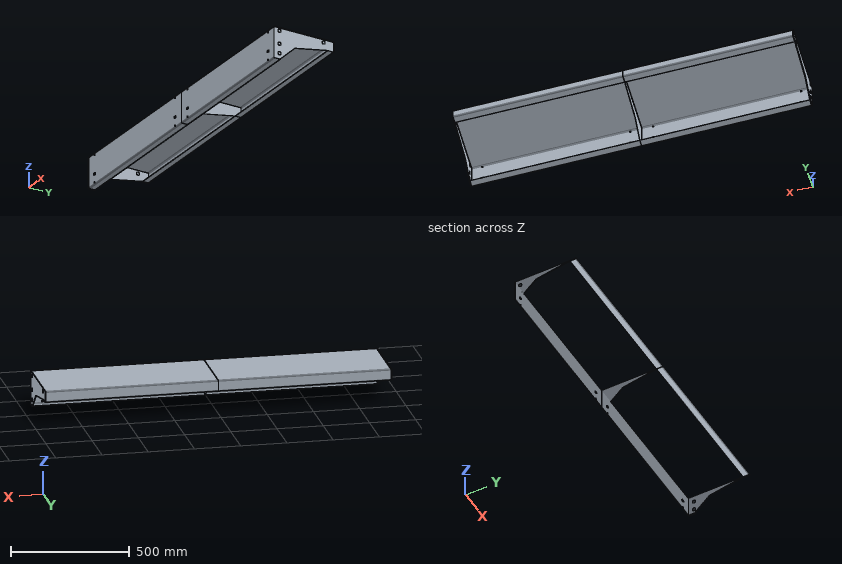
import cadquery as cq

length = 1500.0
depth = 300.0
height = 150.0
front_height = 50.0
lip_depth = 32.0
sheet = 2.0
inner_bend_radius = 2.0

bay_count = 2
fixing_inset = 50.0
slot_length = 14.0
slot_height = 9.0
slot_level = 50.0
screw_hole_diameter = 6.0
screw_edge_distance = 10.0

bracket_thickness = 2.0
knee_y = -45.0
knee_z = 71.0
bolt_hole_diameter = 15.0
front_bolt_y = 97.0
back_bolt_y = -122.0
bolt_levels = [28.0, 73.0, 134.0]

left_end = -length / 2
right_end = length / 2
bay_length = length / bay_count
back = -depth / 2
front = depth / 2
front_bottom = height - front_height
inner_back = back + sheet
inner_front = front - sheet
inner_top = height - sheet
lip_top = sheet
front_lip_top = front_bottom + sheet
back_lip_edge = back + lip_depth
front_lip_edge = front - lip_depth
outer_bend_radius = inner_bend_radius + sheet

outer_bends = [
    (back, 0),
    (back, height),
    (front, height),
    (front, front_bottom),
]
inner_bends = [
    (inner_back, lip_top),
    (inner_back, inner_top),
    (inner_front, inner_top),
    (inner_front, front_lip_top),
]


def plate(x, points, thickness):
    """Solid with the given YZ outline, running from x toward +X."""
    return cq.Workplane("YZ", origin=(x, 0, 0)).polyline(points).close().extrude(thickness)


def round_corners(body, corners, radius):
    """Round the edges along X that pass through the given (y, z) corners."""
    reach = 0.1
    for y, z in corners:
        around_corner = cq.selectors.BoxSelector(
            (left_end - reach, y - reach, z - reach),
            (right_end + reach, y + reach, z + reach),
        )
        body = body.edges("|X").edges(around_corner).fillet(radius)
    return body


def make_web(x, thickness):
    """Plate filling the inside of the fold, its lower edge rising to a knee and on to the front lip."""
    outline = [
        (back_lip_edge, lip_top),
        *inner_bends,
        (front_lip_edge, front_lip_top),
        (knee_y, knee_z),
    ]
    return round_corners(plate(x, outline, thickness), inner_bends, inner_bend_radius)


def make_fold():
    """Back wall, top and front wall, with a lip turned in below each wall."""
    outline = [
        (back_lip_edge, 0),
        *outer_bends,
        (front_lip_edge, front_bottom),
        (front_lip_edge, front_lip_top),
        *reversed(inner_bends),
        (back_lip_edge, lip_top),
    ]
    fold = plate(left_end, outline, length)
    fold = round_corners(fold, outer_bends, outer_bend_radius)
    return round_corners(fold, inner_bends, inner_bend_radius)


def make_back_openings():
    """Cutters through the back wall: a slot with a screw hole above and below at each fixing."""
    fixing_columns = []
    for bay in range(bay_count):
        bay_start = left_end + bay * bay_length
        fixing_columns += [bay_start + fixing_inset, bay_start + bay_length - fixing_inset]
    screw_levels = [screw_edge_distance, height - screw_edge_distance]

    back_wall = cq.Workplane("XZ", origin=(0, inner_back, 0))
    slots = (
        back_wall.pushPoints([(x, slot_level) for x in fixing_columns])
        .slot2D(slot_length, slot_height)
        .extrude(sheet)
    )
    screw_holes = (
        back_wall.pushPoints([(x, z) for x in fixing_columns for z in screw_levels])
        .circle(screw_hole_diameter / 2)
        .extrude(sheet)
    )
    return slots.add(screw_holes).combine()


def make_bolt_holes(wall_start):
    """Cutters through an end wall: a column of holes along its back edge and one more near its front."""
    bolt_centres = [(back_bolt_y, z) for z in bolt_levels]
    bolt_centres.append((front_bolt_y, max(bolt_levels)))
    return (
        cq.Workplane("YZ", origin=(wall_start, 0, 0))
        .pushPoints(bolt_centres)
        .circle(bolt_hole_diameter / 2)
        .extrude(sheet)
    )


def make_shelf():
    """Folded sheet closed by a drilled wall at each end."""
    shelf = make_fold()
    for wall_start in (left_end, right_end - sheet):
        end_wall = make_web(wall_start, sheet).cut(make_bolt_holes(wall_start))
        shelf = shelf.union(end_wall)
    return shelf.cut(make_back_openings())


def make_bracket(x):
    """Plain web that stiffens the fold; the outer two also back the bolt holes of the end walls."""
    return make_web(x, bracket_thickness)


shelf = make_shelf()

bracket_positions = [
    left_end + sheet,
    -bracket_thickness / 2,
    right_end - sheet - bracket_thickness,
]
brackets = [make_bracket(x) for x in bracket_positions]

result = cq.Compound.makeCompound([shelf.val(), *[bracket.val() for bracket in brackets]])